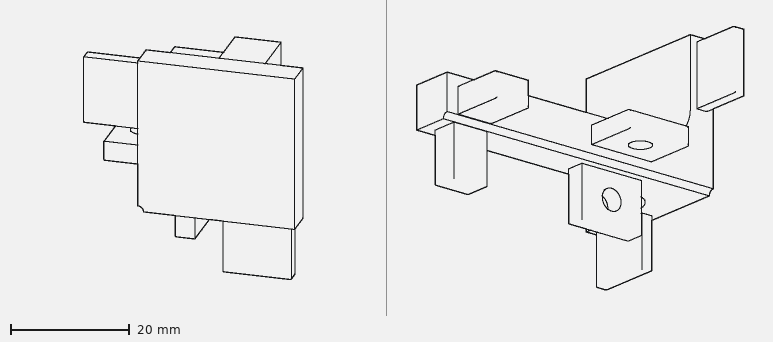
import cadquery as cq

plate_side = 27.5
plate_thickness = 5.0

overall_length = 58.0
arm_side = 8.1
arm_fillet_radius = 6.0
edge_cove_radius = 1.0
joint_margin = 0.1

tab_length = 10.0
tab_root_depth = 1.0
tab_tip_radius = 0.3
tab_inset = 2.0
tab_outer_level = arm_side - tab_inset

plate_tab_width = 12.0
plate_tab_thickness = 2.2
plate_tab_edge_gap = 1.0

eye_tab_center_y = 20.0
eye_tab_width = 13.0
eye_tab_thickness = 3.5
eye_diameter = 4.1

end_tab_width = 7.2
end_tab_thickness = 5.0
end_tab_end_gap = 2.4


def box_between(low_corner, high_corner):
    """Box spanned by two opposite corners."""
    size = [high - low for low, high in zip(low_corner, high_corner)]
    return cq.Workplane("XY").box(*size, centered=False).translate(low_corner)


def swap_x_and_z(shape):
    """Mirror a shape across the X = Z plane, about which the whole part is symmetric."""
    turned = shape.rotate((0, 0, 0), (0, 1, 0), 90)
    return turned.mirror("XY")


def make_body():
    """Plate and arm, with the two inner joints filleted and the outer corner edge coved."""
    plate = box_between((0, 0, 0), (plate_side, plate_thickness, plate_side))
    arm = box_between((0, 0, 0), (arm_side, overall_length, arm_side))
    joint = cq.selectors.BoxSelector(
        (0, plate_thickness - joint_margin, 0),
        (arm_side + joint_margin, plate_thickness + joint_margin, arm_side + joint_margin),
    )
    body = plate.union(arm).edges(joint).fillet(arm_fillet_radius)
    cove = cq.Workplane("XZ").circle(edge_cove_radius).extrude(-overall_length)
    return body.cut(cove)


def make_left_tab(low_y, high_y, low_z, high_z):
    """Tab standing out of the left face, rounded around its tip."""
    tab = box_between((-tab_length, low_y, low_z), (tab_root_depth, high_y, high_z))
    return tab.faces("<X").edges().fillet(tab_tip_radius)


def make_plate_tab():
    """Thin tab centred in the thickness of the plate, near its far end."""
    low_y = (plate_thickness - plate_tab_thickness) / 2
    high_z = plate_side - plate_tab_edge_gap
    return make_left_tab(low_y, low_y + plate_tab_thickness, high_z - plate_tab_width, high_z)


def make_eye_tab():
    """Wide arm tab with a hole through the middle of its exposed length."""
    low_y = eye_tab_center_y - eye_tab_width / 2
    low_z = tab_outer_level - eye_tab_thickness
    tab = make_left_tab(low_y, low_y + eye_tab_width, low_z, tab_outer_level)
    eye = (
        cq.Workplane("XY")
        .center(-tab_length / 2, eye_tab_center_y)
        .circle(eye_diameter / 2)
        .extrude(arm_side)
    )
    return tab.cut(eye)


def make_end_tab():
    """Thick tab near the free end of the arm."""
    high_y = overall_length - end_tab_end_gap
    low_z = tab_outer_level - end_tab_thickness
    return make_left_tab(high_y - end_tab_width, high_y, low_z, tab_outer_level)


result = make_body()
for left_tab in (make_plate_tab(), make_eye_tab(), make_end_tab()):
    result = result.union(left_tab).union(swap_x_and_z(left_tab))